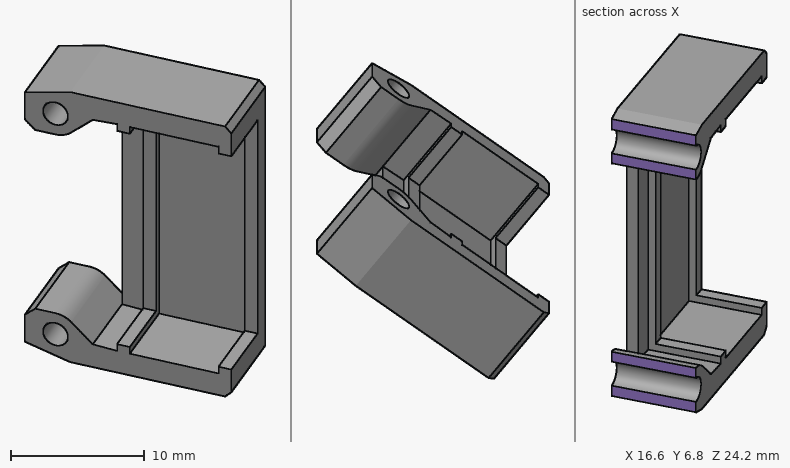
import cadquery as cq
import math

LENGTH = 16.63
DEPTH = 6.8
HEIGHT = 24.2
ARM_TOP = HEIGHT / 2

TIP_SLOPE_LENGTH = 3.65
TIP_SLOPE_DROP = 0.93
HINGE_DROP = 4.1
HINGE_CHAMFER_X = 0.85
HINGE_CHAMFER_Z = 0.75
PIN_HOLE_DIAMETER = 2.0
PIN_X = 2.48
PIN_DROP = 2.22
HINGE_RADIUS = HINGE_DROP - PIN_DROP

POCKET_DROP = 1.95
RAMP_FOOT_X = 5.48
RAMP_FOOT_DROP = 2.05
END_CHAMFER = 0.5

PLATE_THICKNESS = 0.95
RIB_HEIGHT = 0.6
RIB_WIDTH = 1.03
MIDDLE_RIB_X = 7.43
END_RIB_X = LENGTH - RIB_WIDTH


def back_plane():
    """XZ workplane on the back face; extruding from it goes toward the front."""
    return cq.Workplane("XZ", origin=(0, DEPTH, 0))


def on_hinge_round(angle):
    """Point on the hinge round, with the angle measured from straight inward."""
    x = PIN_X + HINGE_RADIUS * math.sin(angle)
    z = ARM_TOP - PIN_DROP - HINGE_RADIUS * math.cos(angle)
    return (x, z)


def make_upper_arm():
    """Arm with a sloped tip, a rounded hinge end and a pin hole."""
    foot_dx = RAMP_FOOT_X - PIN_X
    foot_dz = PIN_DROP - RAMP_FOOT_DROP
    foot_distance = math.hypot(foot_dx, foot_dz)
    foot_angle = math.pi / 2 + math.atan2(foot_dz, foot_dx)
    tangent_angle = foot_angle - math.acos(HINGE_RADIUS / foot_distance)

    arm = (
        back_plane()
        .moveTo(0, ARM_TOP - TIP_SLOPE_DROP)
        .lineTo(TIP_SLOPE_LENGTH, ARM_TOP)
        .lineTo(LENGTH - END_CHAMFER, ARM_TOP)
        .lineTo(LENGTH, ARM_TOP - END_CHAMFER)
        .lineTo(LENGTH, ARM_TOP - POCKET_DROP)
        .lineTo(MIDDLE_RIB_X, ARM_TOP - POCKET_DROP)
        .lineTo(RAMP_FOOT_X, ARM_TOP - RAMP_FOOT_DROP)
        .lineTo(*on_hinge_round(tangent_angle))
        .threePointArc(on_hinge_round(tangent_angle / 2), on_hinge_round(0))
        .lineTo(HINGE_CHAMFER_X, ARM_TOP - HINGE_DROP)
        .lineTo(0, ARM_TOP - HINGE_DROP + HINGE_CHAMFER_Z)
        .close()
        .extrude(DEPTH)
    )
    pin_hole = (
        back_plane()
        .center(PIN_X, ARM_TOP - PIN_DROP)
        .circle(PIN_HOLE_DIAMETER / 2)
        .extrude(DEPTH)
    )
    return arm.cut(pin_hole)


def make_back_plate():
    """Thin plate joining the two arms along the back face."""
    plate_height = HEIGHT - 2 * POCKET_DROP
    plate = cq.Workplane("XY").box(
        LENGTH - RAMP_FOOT_X, PLATE_THICKNESS, plate_height, centered=(False, False, True)
    )
    return plate.translate((RAMP_FOOT_X, DEPTH - PLATE_THICKNESS, 0))


def make_rib(start_x):
    """U-shaped rib running along both arms and across the back plate."""
    outer_height = HEIGHT - 2 * POCKET_DROP
    inner_height = outer_height - 2 * RIB_HEIGHT
    inner_depth = DEPTH - PLATE_THICKNESS - RIB_HEIGHT
    centering = (False, False, True)
    block = cq.Workplane("XY").box(
        RIB_WIDTH, DEPTH, outer_height, centered=centering
    )
    opening = cq.Workplane("XY").box(
        RIB_WIDTH, inner_depth, inner_height, centered=centering
    )
    return block.cut(opening).translate((start_x, 0, 0))


upper_arm = make_upper_arm()
lower_arm = upper_arm.mirror("XY")
result = upper_arm.union(lower_arm).union(make_back_plate())
for rib_x in (MIDDLE_RIB_X, END_RIB_X):
    result = result.union(make_rib(rib_x))
result = result.clean()